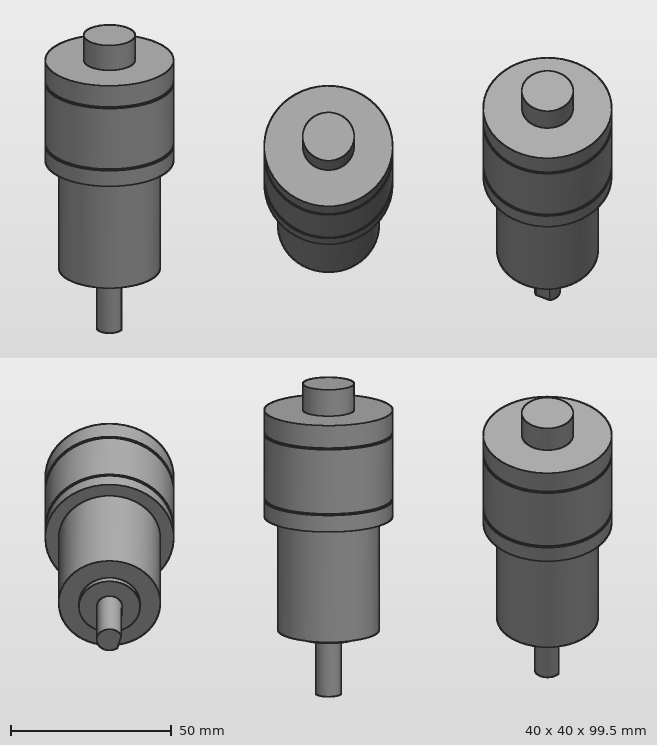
import cadquery as cq

housing_diameter = 40.0
groove_diameter = 39.5
body_diameter = 31.6
collar_diameter = 19.0
boss_diameter = 16.0
shaft_diameter = 8.0

total_height = 99.5
shaft_length = 18.5
collar_height = 2.0
boss_height = 8.5
lower_flange_height = 5.3
upper_flange_height = 7.3
groove_width = 0.5
housing_height = 34.1

flat_length = 15.5
flat_offset = 3.2

collar_top = shaft_length + collar_height
housing_top = total_height - boss_height
housing_bottom = housing_top - housing_height
lower_groove_bottom = housing_bottom + lower_flange_height
upper_groove_bottom = housing_top - upper_flange_height - groove_width


def cylinder(diameter, bottom, top):
    """Solid cylinder on the Z axis between two levels."""
    return cq.Workplane("XY").workplane(offset=bottom).circle(diameter / 2).extrude(top - bottom)


def groove(bottom):
    """Ring of material to remove around the housing."""
    top = bottom + groove_width
    return cylinder(housing_diameter, bottom, top).cut(cylinder(groove_diameter, bottom, top))


flat_cut = cq.Workplane("XY").box(
    shaft_diameter, shaft_diameter, flat_length, centered=(True, False, False)
).translate((0, flat_offset, 0))
shaft = cylinder(shaft_diameter, 0, shaft_length).cut(flat_cut)

housing = cylinder(housing_diameter, housing_bottom, housing_top)
for groove_bottom in (lower_groove_bottom, upper_groove_bottom):
    housing = housing.cut(groove(groove_bottom))

result = (
    shaft
    .union(cylinder(collar_diameter, shaft_length, collar_top))
    .union(cylinder(body_diameter, collar_top, housing_bottom))
    .union(housing)
    .union(cylinder(boss_diameter, housing_top, total_height))
)